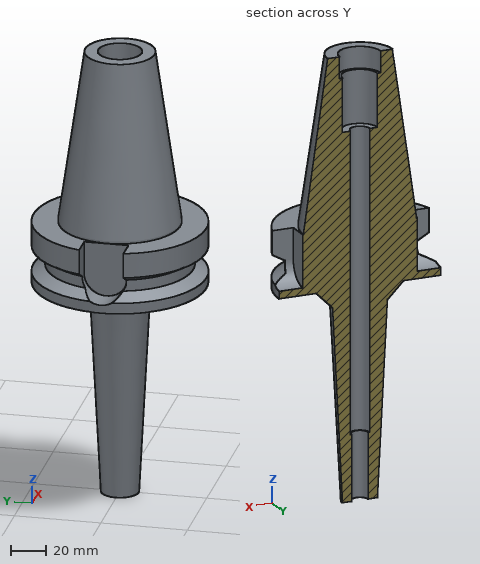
import cadquery as cq
import math

total_height = 266.8

taper_length = 101.7
taper_base_radius = 35.0
taper_ratio = 7 / 24
taper_top_radius = taper_base_radius - taper_length * taper_ratio / 2
neck_height = 1.3

flange_radius = 50.02
upper_rim_height = 14.7
groove_radius = 42.5
groove_floor_height = 6.7
groove_flank_angle = 60
groove_flank_height = (flange_radius - groove_radius) / math.tan(math.radians(groove_flank_angle))
flange_thickness = 36.5

shoulder_height = 10.0
nose_tip_radius = 11.0
nose_half_angle = 3

pilot_radius = 12.5
pilot_depth = 13.0
thread_radius = 10.7
thread_depth = 45.4
channel_radius = 6.0
tip_bore_radius = 5.0
tip_bore_depth = 40.0

slot_width = 25.5
slot_floor_offset = 35.5
slot_depth = 31.7

taper_base_z = total_height - taper_length
flange_top_z = taper_base_z - neck_height
upper_rim_z = flange_top_z - upper_rim_height
groove_top_z = upper_rim_z - groove_flank_height
groove_bottom_z = groove_top_z - groove_floor_height
lower_rim_z = groove_bottom_z - groove_flank_height
flange_bottom_z = flange_top_z - flange_thickness
nose_base_z = flange_bottom_z - shoulder_height
nose_base_radius = nose_tip_radius + nose_base_z * math.tan(math.radians(nose_half_angle))
shoulder_radius = nose_base_radius + shoulder_height


def revolved_body():
    profile = [
        (0, 0),
        (nose_tip_radius, 0),
        (nose_base_radius, nose_base_z),
        (shoulder_radius, flange_bottom_z),
        (flange_radius, flange_bottom_z),
        (flange_radius, lower_rim_z),
        (groove_radius, groove_bottom_z),
        (groove_radius, groove_top_z),
        (flange_radius, upper_rim_z),
        (flange_radius, flange_top_z),
        (taper_base_radius, flange_top_z),
        (taper_base_radius, taper_base_z),
        (taper_top_radius, total_height),
        (0, total_height),
    ]
    return cq.Workplane("XZ").polyline(profile).close().revolve(360, (0, 0), (0, 1))


def cylinder(radius, bottom_z, top_z):
    return cq.Workplane("XY", origin=(0, 0, bottom_z)).circle(radius).extrude(top_z - bottom_z)


def axial_bore():
    thread_bottom_z = total_height - thread_depth
    return (
        cylinder(pilot_radius, total_height - pilot_depth, total_height)
        .union(cylinder(thread_radius, thread_bottom_z, total_height))
        .union(cylinder(channel_radius, tip_bore_depth, thread_bottom_z))
        .union(cylinder(tip_bore_radius, 0, tip_bore_depth))
    )


def drive_slot(angle):
    half_width = slot_width / 2
    arc_z = flange_top_z - slot_depth + half_width
    return (
        cq.Workplane("YZ", origin=(slot_floor_offset, 0, 0))
        .moveTo(-half_width, flange_top_z)
        .lineTo(-half_width, arc_z)
        .threePointArc((0, arc_z - half_width), (half_width, arc_z))
        .lineTo(half_width, flange_top_z)
        .close()
        .extrude(flange_radius - slot_floor_offset)
        .rotate((0, 0, 0), (0, 0, 1), angle)
    )


result = revolved_body().cut(axial_bore())
for slot_angle in (0, 180):
    result = result.cut(drive_slot(slot_angle))